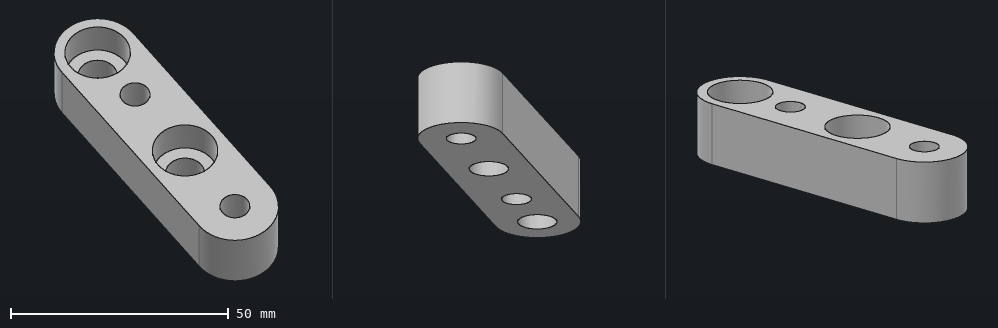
import cadquery as cq

length = 75.0
width = 20.0
height = 15.0
end_center_distance = length - width

through_diameter = 9.0
counterbore_diameter = 15.0
counterbore_depth = 8.5
plain_diameter = 6.8
first_plain_offset = 15.0
second_counterbore_offset = 35.0

first_hole_x = -end_center_distance / 2
counterbored_points = [(first_hole_x, 0), (first_hole_x + second_counterbore_offset, 0)]
plain_points = [(first_hole_x + first_plain_offset, 0), (end_center_distance / 2, 0)]

bar = cq.Workplane("XY").slot2D(length, width).extrude(height)

bar = (
    bar.faces(">Z").workplane(origin=(0, 0, height))
    .pushPoints(counterbored_points)
    .cboreHole(through_diameter, counterbore_diameter, counterbore_depth)
)

result = (
    bar.faces(">Z").workplane(origin=(0, 0, height))
    .pushPoints(plain_points)
    .hole(plain_diameter)
)